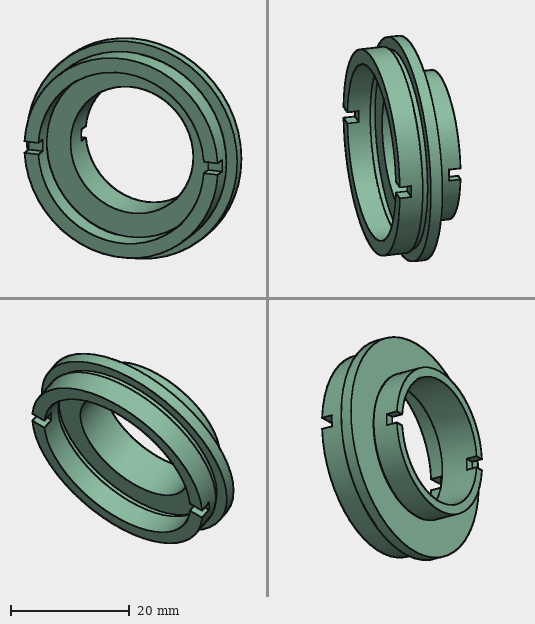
import cadquery as cq

flange_diameter = 38.1
ring_diameter = 35.0
ring_groove_diameter = 34.02
recess_diameter = 30.0
boss_diameter = 25.4
boss_neck_diameter = 24.8
bore_diameter = 22.17

ring_length = 4.0
ring_groove_length = 1.0
flange_thickness = 2.02
boss_neck_length = 0.3
total_length = 12.0
boss_length = total_length - ring_length - ring_groove_length - flange_thickness - boss_neck_length
recess_wall_length = 4.0
recess_relief_diameter = 31.0
recess_relief_length = 1.0

slot_width = 2.02
slot_depth = 2.02

ring_face = -total_length / 2
boss_face = total_length / 2


def disc(diameter, start, length):
    """Solid cylinder on the Y axis, running from start towards +Y."""
    return cq.Workplane("XZ", origin=(0, start, 0)).circle(diameter / 2).extrude(-length)


def slot(center_y):
    """Bar along X that cuts a pair of opposite spanner slots."""
    return cq.Workplane("XY").box(flange_diameter, slot_depth, slot_width).translate((0, center_y, 0))


outer_steps = [
    (ring_diameter, ring_length),
    (ring_groove_diameter, ring_groove_length),
    (flange_diameter, flange_thickness),
    (boss_neck_diameter, boss_neck_length),
    (boss_diameter, boss_length),
]
body = cq.Workplane("XY")
step_start = ring_face
for diameter, length in outer_steps:
    body = body.union(disc(diameter, step_start, length))
    step_start += length

body = body.cut(disc(bore_diameter, ring_face, total_length))
body = body.cut(disc(recess_diameter, ring_face, recess_wall_length))
body = body.cut(disc(recess_relief_diameter, ring_face + recess_wall_length, recess_relief_length))

body = body.cut(slot(ring_face + slot_depth / 2))
body = body.cut(slot(boss_face - slot_depth / 2))

result = body